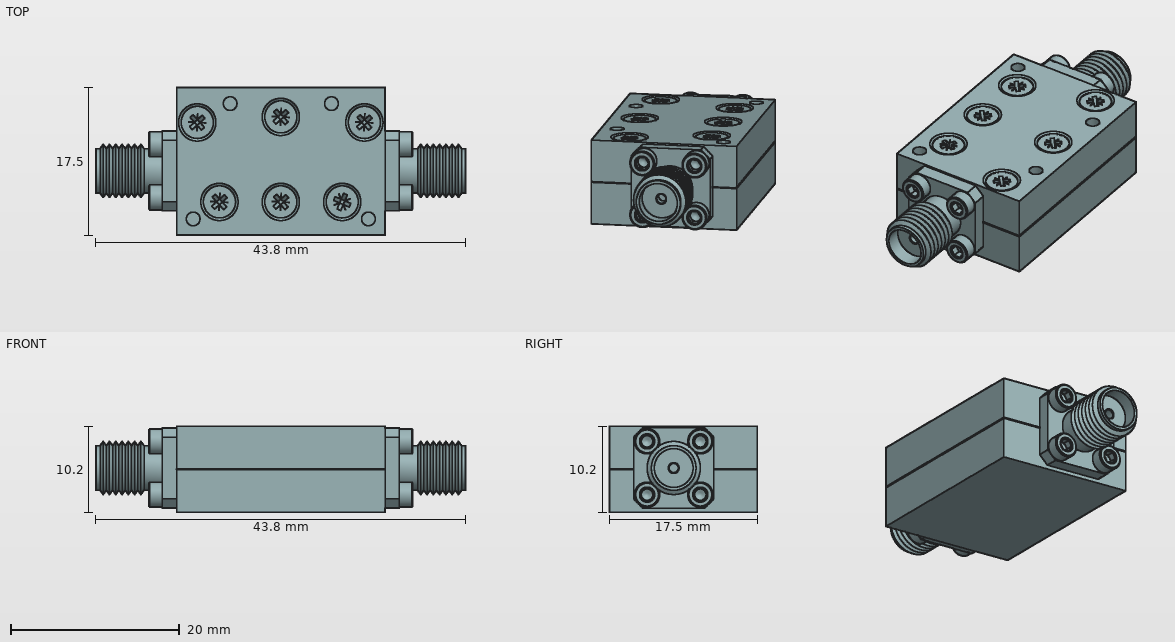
import cadquery as cq
import math

overall_length = 43.8
body_length = 24.7
body_width = 17.5
body_height = 10.2

seam_height = 0.1
seam_depth = 0.1

hole_diameter = 1.6
hole_depth = 2.2
hole_places = [(6.0, 6.85), (10.4, -6.85)]

countersink_diameter = 4.42
cover_head_diameter = 3.8
countersink_depth = 0.25
cover_head_drop = 0.15
cover_screws = [
    (-9.9, 4.6, -3),
    (0, 5.25, -3),
    (9.9, 4.6, -3),
    (-7.25, -4.8, -3),
    (0, -4.8, -3),
    (7.25, -4.8, 22),
]
recess_diameter = 2.0
recess_depth = 1.15
recess_arm_width = 0.5
tick_width = 0.05
tick_depth = 0.1

connector_y = -1.15
connector_z = 0.15
flange_side = 9.5
flange_thickness = 1.7
flange_chamfer = 1.1
barrel_diameter = 5.3
thread_diameter = 6.3
thread_pitch = 0.75
thread_ridges = 7
thread_start = 0.5
bore_diameter = 4.6
bore_depth = 1.9
contact_diameter = 1.1
contact_rim_diameter = 1.25
contact_depth = 1.3

flange_screw_spacing = 6.3
flange_head_diameter = 3.0
flange_head_height = 1.58
flange_head_chamfer = 0.15
socket_rim_diameter = 1.8
socket_corner_diameter = 1.58
socket_depth = 1.05
socket_tip_depth = 0.35

connector_length = (overall_length - body_length) / 2


def make_body():
    """Block with a shallow seam running round its four sides."""
    block = cq.Workplane("XY").box(body_length, body_width, body_height)
    seam_core = cq.Workplane("XY").box(body_length - 2 * seam_depth, body_width - 2 * seam_depth, seam_height)
    seam = cq.Workplane("XY").box(body_length, body_width, seam_height).cut(seam_core)
    return block.cut(seam)


def cone(bottom_radius, top_radius, top_z, depth):
    """Solid cone or frustum hanging below top_z."""
    return cq.Workplane(cq.Solid.makeCone(bottom_radius, top_radius, depth, cq.Vector(0, 0, top_z - depth)))


def make_cover_screw_cutter():
    """Countersink round the head, tapered cross recess and shallow ticks, with the body top at z = 0."""
    head_radius = cover_head_diameter / 2
    rim = cone(head_radius, countersink_diameter / 2, 0, countersink_depth)
    head = (
        cq.Workplane("XY", origin=(0, 0, -countersink_depth))
        .circle(head_radius)
        .extrude(countersink_depth - cover_head_drop)
    )
    recess_floor = -cover_head_drop - recess_depth
    arm = (
        cq.Workplane("XZ")
        .moveTo(-recess_diameter / 2, -cover_head_drop)
        .lineTo(recess_diameter / 2, -cover_head_drop)
        .lineTo(recess_arm_width / 2, recess_floor)
        .lineTo(-recess_arm_width / 2, recess_floor)
        .close()
        .extrude(recess_arm_width / 2, both=True)
    )
    recess = arm.rotate((0, 0, 0), (0, 0, 1), 45).union(arm.rotate((0, 0, 0), (0, 0, 1), 135))
    tick = (
        cq.Workplane("XY")
        .box(recess_diameter, tick_width, tick_depth, centered=(True, True, False))
        .translate((0, 0, -cover_head_drop - tick_depth))
    )
    return rim.cut(head).union(recess).union(tick).union(tick.rotate((0, 0, 0), (0, 0, 1), 90))


def make_flange_screw():
    """Socket head, seated at z = 0, with a chamfered hexagonal socket ending in a drill tip."""
    head = (
        cq.Workplane("XY")
        .circle(flange_head_diameter / 2)
        .extrude(flange_head_height)
        .faces(">Z")
        .chamfer(flange_head_chamfer)
    )
    socket_floor = flange_head_height - socket_depth
    socket = (
        cq.Workplane("XY", origin=(0, 0, socket_floor))
        .polygon(6, socket_corner_diameter)
        .extrude(socket_depth)
    )
    rim_depth = (socket_rim_diameter - socket_corner_diameter) / 2
    rim = cone(socket_corner_diameter / 2, socket_rim_diameter / 2, flange_head_height, rim_depth)
    socket_flat_radius = socket_corner_diameter / 2 * math.cos(math.pi / 6)
    tip = cone(0, socket_flat_radius, socket_floor, socket_tip_depth)
    return head.cut(rim).cut(socket).cut(tip)


def make_barrel():
    """Revolved barrel with ridged thread, open bore and a chamfered contact hole in the bore floor."""
    root = barrel_diameter / 2
    crest = thread_diameter / 2
    contact_radius = contact_diameter / 2
    contact_rim_radius = contact_rim_diameter / 2
    bore_floor = connector_length - bore_depth
    contact_floor = bore_floor - contact_depth
    thread_end = connector_length - thread_start - thread_ridges * thread_pitch
    profile = cq.Workplane("XZ").lineTo(root, 0).lineTo(root, thread_end)
    for ridge in range(thread_ridges):
        ridge_base = thread_end + ridge * thread_pitch
        profile = profile.lineTo(crest, ridge_base + thread_pitch / 2)
        profile = profile.lineTo(root, ridge_base + thread_pitch)
    profile = (
        profile.lineTo(root, connector_length)
        .lineTo(bore_diameter / 2, connector_length)
        .lineTo(bore_diameter / 2, bore_floor)
        .lineTo(contact_rim_radius, bore_floor)
        .lineTo(contact_radius, bore_floor - (contact_rim_radius - contact_radius))
        .lineTo(contact_radius, contact_floor)
        .lineTo(0, contact_floor)
        .close()
    )
    return profile.revolve(360, (0, 0, 0), (0, 1, 0))


def make_connector():
    """Flange, barrel and four screws, pointing along +Z from z = 0."""
    flange = (
        cq.Workplane("XY")
        .rect(flange_side, flange_side)
        .extrude(flange_thickness)
        .edges("|Z")
        .chamfer(flange_chamfer)
    )
    connector = flange.union(make_barrel())
    screw = make_flange_screw().rotate((0, 0, 0), (0, 0, 1), 90)
    offset = flange_screw_spacing / 2
    for screw_x in (-offset, offset):
        for screw_y in (-offset, offset):
            connector = connector.union(screw.translate((screw_x, screw_y, flange_thickness)))
    return connector


result = make_body()

for hole_x, hole_y in hole_places:
    for side in (-1, 1):
        hole = (
            cq.Workplane("XY", origin=(side * hole_x, hole_y, body_height / 2 - hole_depth))
            .circle(hole_diameter / 2)
            .extrude(hole_depth)
        )
        result = result.cut(hole)

cover_screw_cutter = make_cover_screw_cutter()
for screw_x, screw_y, turn in cover_screws:
    cutter = cover_screw_cutter.rotate((0, 0, 0), (0, 0, 1), turn)
    result = result.cut(cutter.translate((screw_x, screw_y, body_height / 2)))

connector = make_connector()
for side in (-1, 1):
    placed = connector.rotate((0, 0, 0), (0, 1, 0), side * 90)
    result = result.union(placed.translate((side * body_length / 2, connector_y, connector_z)))